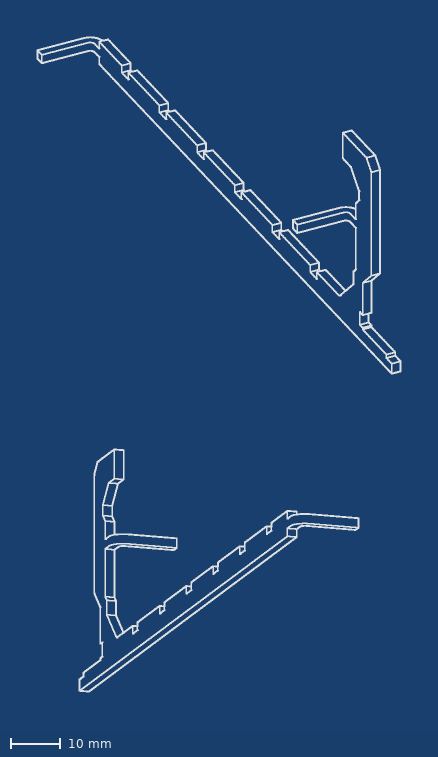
import cadquery as cq

sheet = 2.0
overall_length = 137.01
overall_height = 44.78
overall_depth = 13.4

bar_start = 5.0
bar_height = 5.3

notch_count = 6
notch_pitch = 17.0
notch_first = 15.2
notch_width = 3.0
notch_depth = 1.65

tail_height = 3.2
tail_tip_height = 2.4
tail_tip_length = 2.4

relief_bottom = 3.6
relief_top = 6.6
relief_depth = 1.3

neck_left = 119.7
neck_right = 123.9
neck_shoulder = 1.0
gusset_top = 11.6
shoulder_top = 15.6
post_left = neck_left + neck_shoulder
post_right = 127.8
flare_bottom = 14.2
top_chamfer = 2.2
hook_tip = 114.9
hook_lip_height = 6.1
throat_right = 122.2
throat_bottom = 32.8
throat_upper_slope = 3.7
throat_lower_slope = throat_right - post_left

tab_width = sheet
bend_inner_radius = 1.0
bend_outer_radius = bend_inner_radius + sheet
lower_tab_z = bar_height / 2
upper_tab_z = 26.5
upper_tab_start = 115.3


def make_plate():
    """Flat plate outline in XZ, with its front face at Y = 0 and its back at Y = sheet."""
    hook_underside = overall_height - hook_lip_height
    throat_top = hook_underside - throat_upper_slope
    tip_start = overall_length - tail_tip_length
    relief_left = neck_right - relief_depth
    gusset_left = neck_left - (gusset_top - bar_height)
    outline = [
        (bar_start, 0),
        (overall_length, 0),
        (overall_length, tail_tip_height),
        (tip_start, tail_tip_height),
        (tip_start, tail_height),
        (neck_right, tail_height),
        (neck_right, relief_bottom),
        (relief_left, relief_bottom),
        (relief_left, relief_top),
        (neck_right, relief_top),
        (neck_right, flare_bottom),
        (post_right, flare_bottom + post_right - neck_right),
        (post_right, overall_height - top_chamfer),
        (post_right - top_chamfer, overall_height),
        (hook_tip, overall_height),
        (hook_tip, hook_underside),
        (throat_right - throat_upper_slope, hook_underside),
        (throat_right, throat_top),
        (throat_right, throat_bottom),
        (post_left, throat_bottom - throat_lower_slope),
        (post_left, shoulder_top),
        (neck_left, shoulder_top - neck_shoulder),
        (neck_left, gusset_top),
        (gusset_left, bar_height),
        (bar_start, bar_height),
    ]
    return cq.Workplane("XZ").polyline(outline).close().extrude(-sheet)


def make_notches():
    """Row of rectangular cutters along the top edge of the bar."""
    centers = [
        (notch_first + notch_width / 2 + i * notch_pitch, sheet / 2)
        for i in range(notch_count)
    ]
    return (
        cq.Workplane("XY", origin=(0, 0, bar_height - notch_depth))
        .pushPoints(centers)
        .rect(notch_width, sheet)
        .extrude(notch_depth)
    )


def make_tab(outer_x, root_x, center_z):
    """Tab leaving the plate toward -X from root_x and bent forward to -Y at outer_x."""
    front = sheet - overall_depth
    bottom_z = center_z - tab_width / 2
    tab = (
        cq.Workplane("XY", origin=(0, 0, bottom_z))
        .moveTo(root_x, sheet)
        .lineTo(outer_x + bend_outer_radius, sheet)
        .radiusArc((outer_x, sheet - bend_outer_radius), -bend_outer_radius)
        .lineTo(outer_x, front)
        .lineTo(outer_x + sheet, front)
        .lineTo(outer_x + sheet, -bend_inner_radius)
        .radiusArc((outer_x + bend_outer_radius, 0), bend_inner_radius)
        .lineTo(root_x, 0)
        .close()
        .extrude(tab_width)
    )
    return tab


lower_tab = make_tab(0, bar_start, lower_tab_z)
upper_tab = make_tab(upper_tab_start, post_left, upper_tab_z)

result = make_plate().cut(make_notches()).union(lower_tab).union(upper_tab)